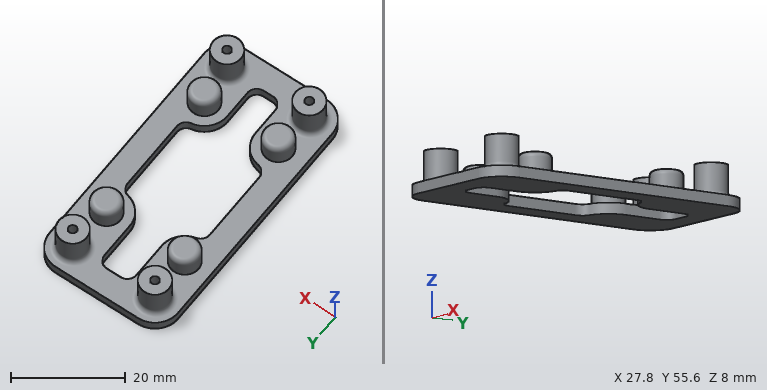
import cadquery as cq

PLATE_WIDTH = 27.78
PLATE_LENGTH = 55.61
PLATE_THICKNESS = 2.0
RIM_WIDTH = 5.0

POST_DIAMETER = 6.0
POST_TOP = 8.0
POST_BASE_FILLET = 1.0
SCREW_HOLE_DIAMETER = 1.7
SCREW_HOLE_DEPTH = POST_TOP - PLATE_THICKNESS
POST_X = PLATE_WIDTH / 2 - RIM_WIDTH
POST_Y = PLATE_LENGTH / 2 - RIM_WIDTH

PIN_PAIRS = [(8.45, 13.4), (8.0, -14.9)]
PIN_DIAMETER = 6.0
PIN_TOP = 6.0
PIN_TOP_FILLET = 1.0

PAD_RADIUS = 5.0
OPENING_CORNER_RADIUS = 2.0

SIDES = (-1, 1)
POST_CENTERS = [(sx * POST_X, sy * POST_Y) for sx in SIDES for sy in SIDES]
PIN_CENTERS = [(side * x, y) for x, y in PIN_PAIRS for side in SIDES]


def pin_pad(x, y):
    """Solid land around a pin, running from the pin out to the nearest opening corner."""
    corner_x = POST_X if x > 0 else -POST_X
    corner_y = POST_Y if y > 0 else -POST_Y
    inner_x = x - PAD_RADIUS if x > 0 else x + PAD_RADIUS
    land = (
        cq.Workplane("XY")
        .center((inner_x + corner_x) / 2, (y + corner_y) / 2)
        .rect(abs(corner_x - inner_x), abs(corner_y - y))
        .extrude(PLATE_THICKNESS)
    )
    rounded_end = cq.Workplane("XY").center(x, y).circle(PAD_RADIUS).extrude(PLATE_THICKNESS)
    return land.union(rounded_end)


def central_opening():
    """Volume removed from the plate, with rounded slot ends and rounded window corners."""
    opening = cq.Workplane("XY").rect(2 * POST_X, 2 * POST_Y).extrude(PLATE_THICKNESS)
    for x, y in PIN_CENTERS:
        opening = opening.cut(pin_pad(x, y))
    return opening.edges("|Z").edges(">Y or <Y or >X or <X").fillet(OPENING_CORNER_RADIUS)


def plate():
    """Round-cornered frame."""
    blank = cq.Workplane("XY").rect(PLATE_WIDTH, PLATE_LENGTH).extrude(PLATE_THICKNESS)
    return blank.edges("|Z").fillet(RIM_WIDTH).cut(central_opening())


def screw_post():
    """Post revolved about Z, with a concave fillet where it meets the plate."""
    radius = POST_DIAMETER / 2
    return (
        cq.Workplane("XZ")
        .moveTo(0, PLATE_THICKNESS)
        .lineTo(radius + POST_BASE_FILLET, PLATE_THICKNESS)
        .radiusArc((radius, PLATE_THICKNESS + POST_BASE_FILLET), POST_BASE_FILLET)
        .lineTo(radius, POST_TOP)
        .lineTo(0, POST_TOP)
        .close()
        .revolve(360, (0, 0), (0, 1))
        .faces(">Z")
        .workplane()
        .hole(SCREW_HOLE_DIAMETER, SCREW_HOLE_DEPTH)
    )


def locating_pin():
    """Short pin with a rounded top edge."""
    return (
        cq.Workplane("XY", origin=(0, 0, PLATE_THICKNESS))
        .circle(PIN_DIAMETER / 2)
        .extrude(PIN_TOP - PLATE_THICKNESS)
        .faces(">Z")
        .edges()
        .fillet(PIN_TOP_FILLET)
    )


result = plate()
for x, y in POST_CENTERS:
    result = result.union(screw_post().translate((x, y, 0)))
for x, y in PIN_CENTERS:
    result = result.union(locating_pin().translate((x, y, 0)))